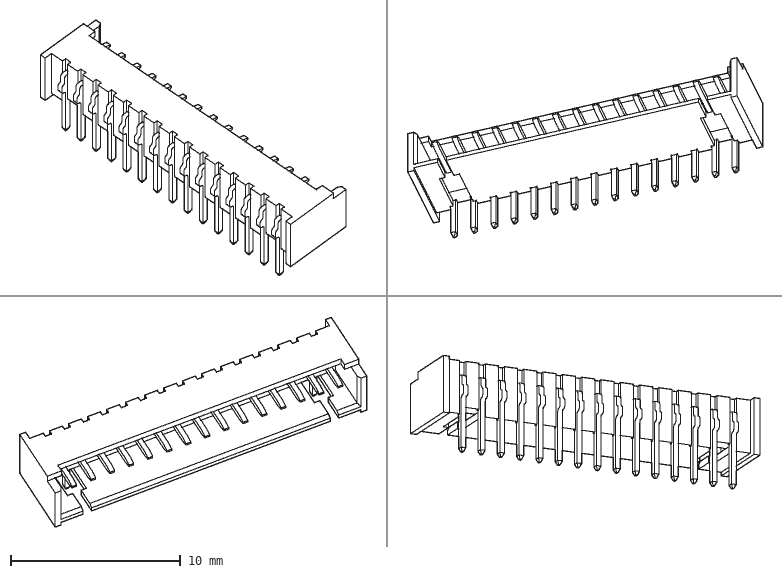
import cadquery as cq


LENGTH = 20.5
DEPTH = 4.7
HEIGHT = 5.6

PIN_COUNT = 15
PITCH = 1.25
PIN_WIDTH = 0.3
PIN_THICKNESS = 0.37

END_WALL_HEIGHT = 3.5
BODY_HEIGHT = 3.28
PLATE_THICKNESS = 0.43
FOOT_WIDTH = 0.39
CAVITY_SIDE = 0.51
BODY_REAR = 0.53
CAVITY_REAR = 1.55
END_STEP_LENGTH = 1.05
ROOF_SETBACK = 1.54
ROOF_TAB_WIDTH = 0.95
MOUTH_CHAMFER_DEPTH = 0.25
MOUTH_CHAMFER_RISE = 0.15

GROOVE_WIDTH = 0.4
GROOVE_FLOOR = 0.8

SLOT_WIDTH = 0.55
SLOT_LENGTH = 1.4

ARM_TOP = -0.9
ARM_TIP_SETBACK = 0.47
ARM_TAPER_LENGTH = 0.45
ARM_TAPER_DROP = 0.12
SHOULDER_RADIUS = 0.18
SHOULDER_REAR = 0.33
STEP_TOP = -1.41
STEP_HEIGHT = 0.3
BULGE_REAR = 0.1
BULGE_BOTTOM = -2.03
UNDERCUT_HEIGHT = 0.35
LEG_REAR = GROOVE_FLOOR - PIN_THICKNESS
LEG_TIP_HEIGHT = 0.23
LEG_TIP_INSET = 0.1

CAVITY_BOTTOM = PLATE_THICKNESS - BODY_HEIGHT
CAVITY_WIDTH = LENGTH - 2 * CAVITY_SIDE
PIN_POSITIONS = [(i - (PIN_COUNT - 1) / 2) * PITCH for i in range(PIN_COUNT)]


def block(width, y_range, z_range, x_center=0.0):
    """Box centred on x_center that fills the given Y and Z ranges."""
    y_min, y_max = y_range
    z_min, z_max = z_range
    size = (width, y_max - y_min, z_max - z_min)
    return cq.Workplane("XY").box(*size, centered=(True, False, False)).translate((x_center, y_min, z_min))


def make_shell():
    """Housing outline with the mating cavity, the cut-back roof and the bevelled mouth."""
    shell = block(LENGTH, (0, DEPTH), (-END_WALL_HEIGHT, 0))
    between_feet = LENGTH - 2 * FOOT_WIDTH
    shell = shell.cut(block(between_feet, (0, BODY_REAR), (-END_WALL_HEIGHT, 0)))
    shell = shell.cut(block(between_feet, (0, DEPTH), (-END_WALL_HEIGHT, -BODY_HEIGHT)))

    shell = shell.cut(block(LENGTH, (DEPTH - END_STEP_LENGTH, DEPTH), (-PLATE_THICKNESS, 0)))
    roof_gap = LENGTH - 2 * ROOF_TAB_WIDTH
    shell = shell.cut(block(roof_gap, (DEPTH - ROOF_SETBACK, DEPTH), (-PLATE_THICKNESS, 0)))

    shell = shell.cut(block(CAVITY_WIDTH, (CAVITY_REAR, DEPTH), (CAVITY_BOTTOM, -PLATE_THICKNESS)))
    return shell.cut(make_mouth_bevel())


def make_mouth_bevel():
    """Wedge that bevels the floor and side edges of the mouth; it is open at the top."""
    cavity_height = -PLATE_THICKNESS - CAVITY_BOTTOM
    mouth_width = CAVITY_WIDTH + 2 * MOUTH_CHAMFER_RISE
    mouth_height = cavity_height + 2 * MOUTH_CHAMFER_RISE
    middle = CAVITY_BOTTOM + cavity_height / 2
    return (
        cq.Workplane("XZ", origin=(0, DEPTH - MOUTH_CHAMFER_DEPTH, middle))
        .rect(CAVITY_WIDTH, cavity_height)
        .workplane(offset=-MOUTH_CHAMFER_DEPTH)
        .rect(mouth_width, mouth_height)
        .loft()
    )


def cut_grooves(housing):
    """Cut the full-height pin grooves into the rear face."""
    for x in PIN_POSITIONS:
        housing = housing.cut(block(GROOVE_WIDTH, (BODY_REAR, GROOVE_FLOOR), (-BODY_HEIGHT, 0), x))
    return housing


def cut_floor_slots(housing):
    """Cut a floor slot between the two outermost pins at each end; it widens to one pitch at the rear."""
    floor = (-BODY_HEIGHT, CAVITY_BOTTOM)
    widening = DEPTH - SLOT_LENGTH
    slot_center = (PIN_COUNT - 2) / 2 * PITCH
    for x in (-slot_center, slot_center):
        housing = housing.cut(block(SLOT_WIDTH, (widening, DEPTH), floor, x))
        housing = housing.cut(block(PITCH, (BODY_REAR, widening), floor, x))
    return housing


def make_pin():
    """One pin, centred on X = 0."""
    arm_tip = DEPTH - ARM_TIP_SETBACK
    taper_start = arm_tip - ARM_TAPER_LENGTH
    arm_bottom = ARM_TOP - PIN_THICKNESS
    step_middle = ((SHOULDER_REAR + BULGE_REAR) / 2, STEP_TOP - STEP_HEIGHT / 2)
    undercut_middle = ((BULGE_REAR + LEG_REAR) / 2, BULGE_BOTTOM - UNDERCUT_HEIGHT / 2)
    leg_end = LEG_TIP_HEIGHT - HEIGHT

    bent_strip = (
        cq.Workplane("YZ", origin=(-PIN_WIDTH / 2, 0, 0))
        .moveTo(taper_start, ARM_TOP)
        .lineTo(SHOULDER_REAR + SHOULDER_RADIUS, ARM_TOP)
        .tangentArcPoint((SHOULDER_REAR, ARM_TOP - SHOULDER_RADIUS), relative=False)
        .lineTo(SHOULDER_REAR, STEP_TOP)
        .tangentArcPoint(step_middle, relative=False)
        .tangentArcPoint((BULGE_REAR, STEP_TOP - STEP_HEIGHT), relative=False)
        .lineTo(BULGE_REAR, BULGE_BOTTOM)
        .tangentArcPoint(undercut_middle, relative=False)
        .tangentArcPoint((LEG_REAR, BULGE_BOTTOM - UNDERCUT_HEIGHT), relative=False)
        .lineTo(LEG_REAR, leg_end)
        .lineTo(GROOVE_FLOOR, leg_end)
        .lineTo(GROOVE_FLOOR, arm_bottom)
        .lineTo(taper_start, arm_bottom)
        .lineTo(arm_tip, arm_bottom + ARM_TAPER_DROP)
        .lineTo(arm_tip, ARM_TOP - ARM_TAPER_DROP)
        .close()
        .extrude(PIN_WIDTH)
    )
    leg_tip = (
        cq.Workplane("XY", origin=(0, GROOVE_FLOOR - PIN_THICKNESS / 2, leg_end))
        .rect(PIN_WIDTH, PIN_THICKNESS)
        .workplane(offset=-LEG_TIP_HEIGHT)
        .rect(PIN_WIDTH - 2 * LEG_TIP_INSET, PIN_THICKNESS - 2 * LEG_TIP_INSET)
        .loft()
    )
    return bent_strip.union(leg_tip)


result = cut_floor_slots(cut_grooves(make_shell()))
pin = make_pin()
for x in PIN_POSITIONS:
    result = result.union(pin.translate((x, 0, 0)))